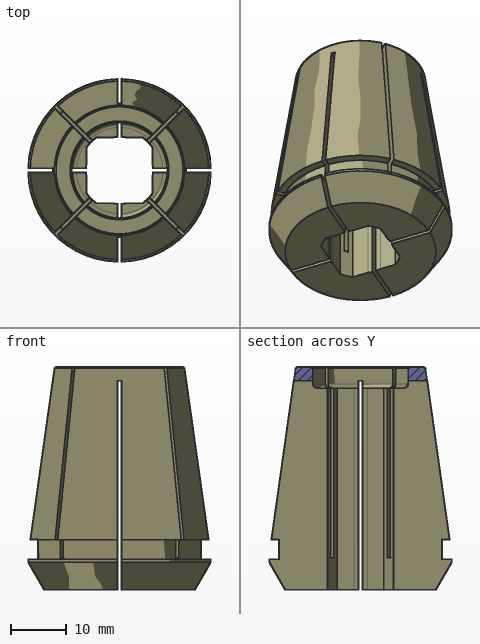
import cadquery as cq
import math


total_height = 40.0
flange_radius = 16.4
flange_top_z = 5.5
flange_rim_height = 0.5
nose_angle = 30.0
groove_radius = 14.66
groove_top_z = 9.0
taper_base_radius = 16.0
taper_angle = 8.0
top_outer_chamfer = 0.3

round_bore_radius = 6.0
square_side = 11.75
square_corner_radius = 7.2

counterbore_radius = 8.55
counterbore_depth = 3.8
counterbore_fillet = 0.8
counterbore_chamfer = 0.3

slot_width = 0.7
slot_length = flange_radius + 1.0
slot_count = 4
slot_pitch = 360.0 / slot_count
bottom_slot_end_z = 37.5
top_slot_floor_z = 5.8


def make_body():
    """Revolved outer shape: nose cone, flange, groove and long taper."""
    rim_bottom_z = flange_top_z - flange_rim_height
    nose_radius = flange_radius - rim_bottom_z * math.tan(math.radians(nose_angle))
    taper_slope = math.tan(math.radians(taper_angle))
    chamfer_z = total_height - top_outer_chamfer
    taper_end_radius = taper_base_radius - (chamfer_z - groove_top_z) * taper_slope
    top_radius = taper_end_radius - top_outer_chamfer
    return (
        cq.Workplane("XZ")
        .moveTo(0, 0)
        .lineTo(nose_radius, 0)
        .lineTo(flange_radius, rim_bottom_z)
        .lineTo(flange_radius, flange_top_z)
        .lineTo(groove_radius, flange_top_z)
        .lineTo(groove_radius, groove_top_z)
        .lineTo(taper_base_radius, groove_top_z)
        .lineTo(taper_end_radius, chamfer_z)
        .lineTo(top_radius, total_height)
        .lineTo(0, total_height)
        .close()
        .revolve()
    )


def make_bore():
    """Square bore with corners trimmed to a circle and a round bore grazing its sides."""
    square = cq.Workplane("XY").rect(square_side, square_side).extrude(total_height)
    corner_limit = cq.Workplane("XY").circle(square_corner_radius).extrude(total_height)
    round_bore = cq.Workplane("XY").circle(round_bore_radius).extrude(total_height)
    return square.intersect(corner_limit).union(round_bore)


def make_counterbore():
    """Counterbore with a rounded floor corner and a chamfered mouth."""
    floor_z = total_height - counterbore_depth
    recess = (
        cq.Workplane("XY")
        .workplane(offset=floor_z)
        .circle(counterbore_radius)
        .extrude(counterbore_depth)
        .faces("<Z")
        .edges()
        .fillet(counterbore_fillet)
    )
    mouth = cq.Workplane(
        cq.Solid.makeCone(
            counterbore_radius,
            counterbore_radius + counterbore_chamfer,
            counterbore_chamfer,
            pnt=cq.Vector(0, 0, total_height - counterbore_chamfer),
        )
    )
    return recess.union(mouth)


def make_slots(bottom_z, top_z, start_angle):
    """Ring of radial slots between two heights, the first at start_angle from +X."""
    slot = cq.Workplane("XY").box(slot_length, slot_width, top_z - bottom_z, (False, True, False))
    slot = slot.translate((0, 0, bottom_z))
    slots = cq.Workplane("XY")
    for index in range(slot_count):
        angle = start_angle + index * slot_pitch
        slots = slots.add(slot.rotate((0, 0, 0), (0, 0, 1), angle))
    return slots.combine()


bottom_slots = make_slots(0, bottom_slot_end_z, 0)
top_slots = make_slots(top_slot_floor_z, total_height, slot_pitch / 2)

result = make_body().cut(make_bore()).cut(make_counterbore()).cut(bottom_slots).cut(top_slots)